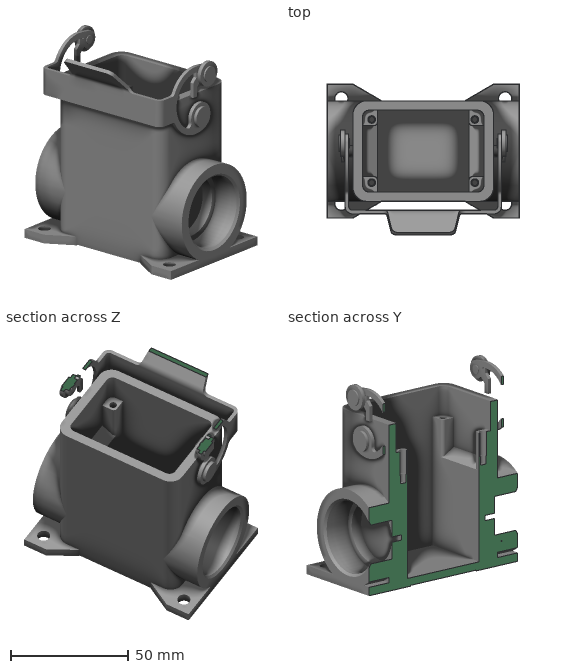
import cadquery as cq
import math

body_length = 60.1
body_width = 43.0
body_bottom = 0.4
body_top = 74.2
body_corner_radius = 5.9

cavity_length = 51.8
cavity_width = 35.0
cavity_corner_radius = 2.9
floor_top = 4.0
lower_cavity_length = 39.2
ramp_top = 48.2
ramp_bottom = 44.6

post_top = 61.2
post_inner_y = 10.9
post_edge_radius = 1.4
screw_x = 22.0
screw_y = 13.5
screw_diameter = 3.2
screw_depth = 10.8
pilot_diameter = 2.5
pilot_depth = 14.4

foot_end = 41.0
foot_half_width = 28.6
foot_thickness = 4.0
foot_inner_x = 17.8
foot_hole_x = 35.0
foot_hole_y = 22.5
foot_hole_diameter = 5.6

entry_height = 22.75
entry_radius = body_width / 2
entry_bore_radius = 16.0
entry_mouth_radius = 17.0
entry_bore_depth = 12.8
knockout_radius = 13.6
knockout_depth = 18

lever_half_length = 33.45
lever_thickness = 1.6
lever_front_y = -26.8
lever_corner_radius = 3.15
strap_bottom = 66.6
strap_top = 78.6
arm_inner_x = -lever_half_length + lever_thickness
ring_y = -3.4
ring_z = 72.8
ring_outer_radius = 15.3
ring_inner_radius = 12.6
ring_fillet = 2.0

pivot_y = 0
pivot_z = 64.6
pivot_hub_radius = ring_outer_radius - math.hypot(pivot_y - ring_y, pivot_z - ring_z)
pivot_head_radius = 4.6
pivot_head_height = 1.4
pivot_pin_radius = 2.4
pin_embedding = 0.9
gap_end_radius = 1.8

roller_y = 3.3
roller_z = 83.4
roller_hub_radius = 4.05
roller_radius = 5.6
roller_thickness = 1.8
roller_cap_radius = 3.5
roller_cap_height = 0.7
roller_rivet_radius = 2.0
roller_rivet_height = 0.4

tail_neck_y = -2.9
tail_neck_top = 85.3
tail_front_y = -4.95
tail_front_bend = 83.0
tail_back_y = -2.4
tail_back_bend = 78.6
tail_root_y = -1.2
tail_bottom = 74.3

grip_top = 89.9
grip_tip_y = -35.9
grip_base_half = 15.9
grip_tip_half = 13.1
grip_blank_half = 21.6
grip_bend_radius = 2.3
grip_corner_radius = 2.7
grip_root_radius = 2.9


def both_ends(shape):
    """Join a shape with its mirror image at the opposite X end."""
    return shape.union(shape.mirror("YZ"))


def rounded_block(length, width, bottom, top, radius):
    block = cq.Workplane("XY").workplane(offset=bottom).rect(length, width).extrude(top - bottom)
    return block.edges("|Z").fillet(radius)


def disc_x(y, z, radius, x_start, x_end):
    """Cylinder along X between two X positions."""
    return cq.Workplane("YZ", origin=(x_start, 0, 0)).center(y, z).circle(radius).extrude(x_end - x_start)


def foot():
    """Mounting plate at the -X end with tapered corners and two fixing holes."""
    body_half_length = body_length / 2
    body_half_width = body_width / 2
    outline = [
        (-foot_end, -foot_half_width),
        (-body_half_length, -foot_half_width),
        (-foot_inner_x, -body_half_width),
        (-foot_inner_x, body_half_width),
        (-body_half_length, foot_half_width),
        (-foot_end, foot_half_width),
    ]
    plate = cq.Workplane("XY").polyline(outline).close().extrude(foot_thickness)
    hole_places = [(-foot_hole_x, -foot_hole_y), (-foot_hole_x, foot_hole_y)]
    return plate.faces(">Z").workplane(origin=(0, 0, 0)).pushPoints(hole_places).hole(foot_hole_diameter)


def cavity():
    """Open space that narrows along X below the sloping ramps."""
    space = rounded_block(cavity_length, cavity_width, floor_top, body_top, cavity_corner_radius)
    half_top = cavity_length / 2
    half_low = lower_cavity_length / 2
    side_shape = [
        (-half_low, floor_top),
        (half_low, floor_top),
        (half_low, ramp_bottom),
        (half_top, ramp_top),
        (half_top, body_top),
        (-half_top, body_top),
        (-half_top, ramp_top),
        (-half_low, ramp_bottom),
    ]
    limits = cq.Workplane("XZ").polyline(side_shape).close().extrude(cavity_width / 2, both=True)
    return space.intersect(limits)


def post_hole(diameter, depth):
    hole = cq.Workplane("XY", origin=(screw_x, screw_y, post_top - depth))
    return hole.circle(diameter / 2).extrude(depth)


def post(x_side, y_side):
    """Screw post filling one cavity corner, overlapping the walls."""
    inner_x = lower_cavity_length / 2
    size_x = (cavity_length + body_length) / 4 - inner_x
    size_y = (cavity_width + body_width) / 4 - post_inner_y
    height = post_top - floor_top
    block = (
        cq.Workplane("XY", origin=(inner_x + size_x / 2, post_inner_y + size_y / 2, floor_top))
        .rect(size_x, size_y)
        .extrude(height)
        .edges("|Z and <X and <Y")
        .fillet(post_edge_radius)
    )
    block = block.cut(post_hole(screw_diameter, screw_depth)).cut(post_hole(pilot_diameter, pilot_depth))
    if x_side < 0:
        block = block.mirror("YZ")
    if y_side < 0:
        block = block.mirror("XZ")
    return block


def entry_recess():
    """Blind stepped bore with a chamfered mouth."""
    bore_end = -foot_end + entry_bore_depth
    mouth_depth = entry_mouth_radius - entry_bore_radius
    bore = disc_x(0, entry_height, entry_bore_radius, -foot_end, bore_end)
    step = disc_x(0, entry_height, knockout_radius, bore_end, -foot_end + knockout_depth)
    mouth_centre = cq.Vector(-foot_end, 0, entry_height)
    mouth = cq.Solid.makeCone(
        entry_mouth_radius, entry_bore_radius, mouth_depth, pnt=mouth_centre, dir=cq.Vector(1, 0, 0)
    )
    return bore.union(step).union(cq.Workplane(mouth))


def housing():
    shell = rounded_block(body_length, body_width, body_bottom, body_top, body_corner_radius)
    entry = disc_x(0, entry_height, entry_radius, -foot_end, 0)
    shell = shell.union(both_ends(entry)).union(both_ends(foot()))
    shell = shell.cut(cavity())
    for x_side in (-1, 1):
        for y_side in (-1, 1):
            shell = shell.union(post(x_side, y_side))
    return shell.cut(both_ends(entry_recess()))


def strap():
    """U-shaped strap whose side legs reach back to the arm rings."""
    back_y = ring_y - ring_inner_radius
    length = 2 * lever_half_length
    outer = cq.Workplane("XY", origin=(0, 0, strap_bottom)).rect(length, -2 * lever_front_y)
    outer = outer.extrude(strap_top - strap_bottom).edges("|Z").fillet(lever_corner_radius)
    inner = (
        cq.Workplane("XY", origin=(0, 0, strap_bottom))
        .rect(length - 2 * lever_thickness, 2 * (-lever_front_y - lever_thickness))
        .extrude(strap_top - strap_bottom)
        .edges("|Z")
        .fillet(lever_corner_radius - lever_thickness)
    )
    rear = cq.Workplane("XY", origin=(0, back_y - lever_front_y, strap_bottom))
    rear = rear.rect(length, -2 * lever_front_y).extrude(strap_top - strap_bottom)
    return outer.cut(inner).cut(rear)


def polar_point(toward_y, toward_z, distance):
    """Point at a distance from the ring centre in the direction of another point."""
    dy = toward_y - ring_y
    dz = toward_z - ring_z
    scale = distance / math.hypot(dy, dz)
    return (ring_y + dy * scale, ring_z + dz * scale)


def arm_disc(y, z, radius):
    return disc_x(y, z, radius, -lever_half_length, arm_inner_x)


def arm_polygon(points):
    plane = cq.Workplane("YZ", origin=(-lever_half_length, 0, 0))
    return plane.polyline(points).close().extrude(lever_thickness)


def ring_web(strap_edge, side):
    """Concave web blending the ring into the top (side 1) or bottom (side -1) of the strap."""
    web_z = strap_edge + side * ring_fillet
    reach = ring_outer_radius + ring_fillet
    web_y = ring_y - math.sqrt(reach**2 - (web_z - ring_z) ** 2)
    web = arm_polygon([(ring_y, ring_z), (web_y, web_z), (web_y, ring_z)])
    return web.cut(arm_disc(web_y, web_z, ring_fillet))


def roller_bridge():
    """Straight stretch along the outer common tangent of the ring and the roller hub."""
    hub_y = roller_y - ring_y
    hub_z = roller_z - ring_z
    spacing = math.hypot(hub_y, hub_z)
    tilt = math.atan2(hub_z, hub_y) + math.acos((ring_outer_radius - roller_hub_radius) / spacing)
    normal_y = math.cos(tilt)
    normal_z = math.sin(tilt)
    return arm_polygon(
        [
            (ring_y, ring_z),
            (roller_y, roller_z),
            (roller_y + roller_hub_radius * normal_y, roller_z + roller_hub_radius * normal_z),
            (ring_y + ring_outer_radius * normal_y, ring_z + ring_outer_radius * normal_z),
        ]
    )


def gap_end():
    """Rounded end of the gap between the ring and the pivot hub."""
    ring_reach = ring_inner_radius - gap_end_radius
    hub_reach = pivot_hub_radius + gap_end_radius
    hub_y = pivot_y - ring_y
    hub_z = pivot_z - ring_z
    spacing = math.hypot(hub_y, hub_z)
    along = (ring_reach**2 - hub_reach**2 + spacing**2) / (2 * spacing)
    across = math.sqrt(ring_reach**2 - along**2)
    end_y = ring_y + (along * hub_y + across * hub_z) / spacing
    end_z = ring_z + (along * hub_z - across * hub_y) / spacing
    outer_point = polar_point(end_y, end_z, ring_outer_radius)
    hub_point = polar_point(pivot_y, pivot_z, ring_outer_radius)
    fill = arm_polygon([(pivot_y, pivot_z), (end_y, end_z), outer_point, hub_point])
    return fill.cut(arm_disc(end_y, end_z, gap_end_radius))


def arm():
    """Open ring from the pivot hub round to the roller hub, with a hooked tail."""
    ring = arm_disc(ring_y, ring_z, ring_outer_radius)
    ring = ring.union(roller_bridge())
    ring = ring.union(ring_web(strap_top, 1)).union(ring_web(strap_bottom, -1))
    ring = ring.cut(arm_disc(ring_y, ring_z, ring_inner_radius))
    far = 2 * ring_outer_radius
    opening = arm_polygon(
        [
            (ring_y, ring_z),
            polar_point(pivot_y, pivot_z, far),
            (ring_y + far, ring_z),
            polar_point(roller_y, roller_z, far),
        ]
    )
    tail = arm_polygon(
        [
            (roller_y, roller_z),
            (tail_neck_y, tail_neck_top),
            (tail_neck_y, tail_front_bend),
            (tail_front_y, tail_front_bend - (tail_neck_y - tail_front_y)),
            (tail_front_y, tail_bottom),
            (tail_back_y, tail_bottom),
            (tail_back_y, tail_back_bend),
            (tail_root_y, tail_back_bend + tail_root_y - tail_back_y),
        ]
    )
    ring = ring.cut(opening).union(gap_end()).union(tail)
    ring = ring.union(arm_disc(pivot_y, pivot_z, pivot_hub_radius))
    return ring.union(arm_disc(roller_y, roller_z, roller_hub_radius))


def pivot():
    """Pin running from the housing wall through the arm, with its outer head."""
    pin = disc_x(pivot_y, pivot_z, pivot_pin_radius, -lever_half_length, -body_length / 2 + pin_embedding)
    head_start = -lever_half_length - pivot_head_height
    return pin.union(disc_x(pivot_y, pivot_z, pivot_head_radius, head_start, -lever_half_length))


def roller():
    """Roller with its outer cap and the rivet end on the inner face of the arm."""
    outer_x = -lever_half_length - roller_thickness
    wheel = disc_x(roller_y, roller_z, roller_radius, outer_x, -lever_half_length)
    cap = disc_x(roller_y, roller_z, roller_cap_radius, outer_x - roller_cap_height, outer_x)
    rivet = disc_x(roller_y, roller_z, roller_rivet_radius, outer_x, arm_inner_x + roller_rivet_height)
    return wheel.union(cap).union(rivet)


def grip():
    """Thumb grip leaning out at 45 degrees, narrowing towards a rounded tip."""
    back_y = lever_front_y + lever_thickness
    tip_drop = lever_thickness * math.sqrt(0.5)
    front_bend_z = grip_top - tip_drop + grip_tip_y - lever_front_y
    back_bend_z = grip_top + (grip_tip_y + tip_drop) - back_y
    side_shape = [
        (lever_front_y, strap_bottom),
        (lever_front_y, front_bend_z),
        (grip_tip_y, grip_top - tip_drop),
        (grip_tip_y + tip_drop, grip_top),
        (back_y, back_bend_z),
        (back_y, strap_bottom),
    ]
    sheet = cq.Workplane("YZ").polyline(side_shape).close().extrude(grip_blank_half, both=True)
    front_bend = cq.selectors.NearestToPointSelector((0, lever_front_y, front_bend_z))
    sheet = sheet.edges(front_bend).fillet(grip_bend_radius)
    back_bend = cq.selectors.NearestToPointSelector((0, back_y, back_bend_z))
    sheet = sheet.edges(back_bend).fillet(grip_bend_radius + lever_thickness)
    front_shape = [
        (-grip_blank_half, strap_bottom),
        (-grip_blank_half, strap_top),
        (-grip_base_half, strap_top),
        (-grip_tip_half, grip_top),
        (grip_tip_half, grip_top),
        (grip_base_half, strap_top),
        (grip_blank_half, strap_top),
        (grip_blank_half, strap_bottom),
    ]
    outline = cq.Workplane("XZ").polyline(front_shape).close().extrude(-grip_tip_y)
    for x_side in (-1, 1):
        root = cq.selectors.NearestToPointSelector((x_side * grip_base_half, grip_tip_y / 2, strap_top))
        outline = outline.edges(root).fillet(grip_root_radius)
    blade = sheet.intersect(outline)
    tip_y = grip_tip_y + tip_drop / 2
    tip_z = grip_top - tip_drop / 2
    for x_side in (-1, 1):
        tip = cq.selectors.NearestToPointSelector((x_side * grip_tip_half, tip_y, tip_z))
        blade = blade.edges(tip).fillet(grip_corner_radius)
    return blade


def lever():
    side = arm().union(pivot()).union(roller())
    return strap().union(grip()).union(both_ends(side))


result = housing().union(lever())